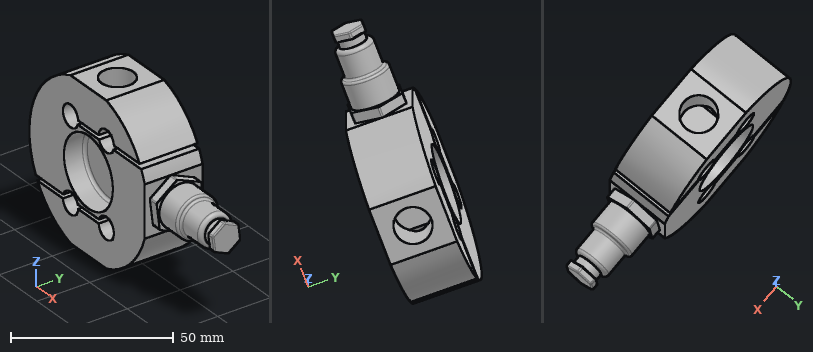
import cadquery as cq
import math

thickness = 22.0
disc_radius = 31.5
height = 60.0
gland_face_x = 30.0
end_x = 58.2

flexure_radius = 4.0
flexure_x = 9.5
flexure_z = 15.5
slot_z = 15.0
slot_width = 1.5

pocket_radius = 13.0
pocket_depth = 8.1
pocket_fillet = 1.1
load_hole_radius = 6.0

base_hex_flats = 17.05
base_hex_corner_fillet = 0.6
base_hex_length = 3.6
sleeve_radius = 8.0
sleeve_length = 8.6
shoulder_radius = 0.8
collar_end_x = 52.9
collar_round = 1.4
neck_radius = 4.5
neck_fillet = 0.2
cap_hex_flats = 10.05
cap_hex_corner_fillet = 0.7
cap_length = 2.4
cap_end_round = 0.45
hex_turn = 7.0


def along_y(radius, length, x=0, z=0):
    """Cylinder along Y, centred on the XZ plane."""
    return cq.Workplane("XZ").center(x, z).circle(radius).extrude(length / 2, both=True)


def disc_blank():
    """Round disc with flats at the top, at the bottom and on the gland side."""
    left_x = -disc_radius
    flats = cq.Workplane("XY").box(gland_face_x - left_x, thickness, height)
    flats = flats.translate(((gland_face_x + left_x) / 2, 0, 0))
    return along_y(disc_radius, thickness).intersect(flats)


def flexure_cut(side):
    """Two holes and the slot that joins them and leaves the disc (side = 1 top, -1 bottom)."""
    slot_start = -side * flexure_x
    slot_end = side * disc_radius
    cut = (
        cq.Workplane("XY")
        .box(abs(slot_end - slot_start), thickness, slot_width)
        .translate(((slot_start + slot_end) / 2, 0, side * slot_z))
    )
    for x in (-flexure_x, flexure_x):
        cut = cut.union(along_y(flexure_radius, thickness, x, side * flexure_z))
    return cut


def load_hole(side):
    """Hole from the flat at the top (1) or bottom (-1) down into the slot."""
    depth = height / 2 - slot_z
    return (
        cq.Workplane("XY")
        .circle(load_hole_radius)
        .extrude(side * depth)
        .translate((0, 0, side * slot_z))
    )


def gauge_pocket(side):
    """Round pocket with a filleted floor in the front (-1) or back (1) face."""
    return (
        cq.Workplane("XZ")
        .circle(pocket_radius)
        .extrude(pocket_depth)
        .faces(">Y")
        .edges()
        .fillet(pocket_fillet)
        .translate((0, pocket_depth - thickness / 2, 0))
        .rotate((0, 0, 0), (0, 0, 1), 0 if side < 0 else 180)
    )


def make_disc():
    disc = disc_blank()
    for side in (-1, 1):
        disc = disc.cut(flexure_cut(side))
        disc = disc.cut(load_hole(side))
        disc = disc.cut(gauge_pocket(side))
    return disc


def turned_hexagon(flats, corner_fillet, start_x, length):
    """Hexagonal prism along X with rounded corners, turned about its axis."""
    corner_diameter = flats / math.cos(math.radians(30))
    return (
        cq.Workplane("YZ")
        .workplane(offset=start_x)
        .transformed(rotate=(0, 0, 90 + hex_turn))
        .polygon(6, corner_diameter)
        .extrude(length)
        .edges("|X")
        .fillet(corner_fillet)
    )


def gland_shaft():
    """Revolved sleeve, collar and neck between the two hexagons."""
    sleeve_start = gland_face_x + base_hex_length
    sleeve_end = sleeve_start + sleeve_length
    cap_start = end_x - cap_length
    collar_radius = sleeve_radius - 2 * shoulder_radius
    step_x = sleeve_end + shoulder_radius
    step_radius = sleeve_radius - shoulder_radius
    return (
        cq.Workplane("XY")
        .moveTo(sleeve_start, 0)
        .lineTo(sleeve_start, sleeve_radius)
        .lineTo(sleeve_end, sleeve_radius)
        .radiusArc((step_x, step_radius), shoulder_radius)
        .radiusArc((step_x + shoulder_radius, collar_radius), -shoulder_radius)
        .lineTo(collar_end_x - collar_round, collar_radius)
        .radiusArc((collar_end_x, collar_radius - collar_round), collar_round)
        .lineTo(collar_end_x, neck_radius)
        .lineTo(cap_start - neck_fillet, neck_radius)
        .radiusArc((cap_start, neck_radius + neck_fillet), -neck_fillet)
        .lineTo(cap_start, 0)
        .close()
        .revolve(360, (0, 0, 0), (1, 0, 0))
    )


def make_gland():
    base = turned_hexagon(base_hex_flats, base_hex_corner_fillet, gland_face_x, base_hex_length)
    cap = turned_hexagon(cap_hex_flats, cap_hex_corner_fillet, end_x - cap_length, cap_length)
    cap = cap.faces(">X").edges().fillet(cap_end_round)
    return base.union(gland_shaft()).union(cap)


disc = make_disc()
gland = make_gland()
result = cq.Compound.makeCompound([disc.val(), gland.val()])